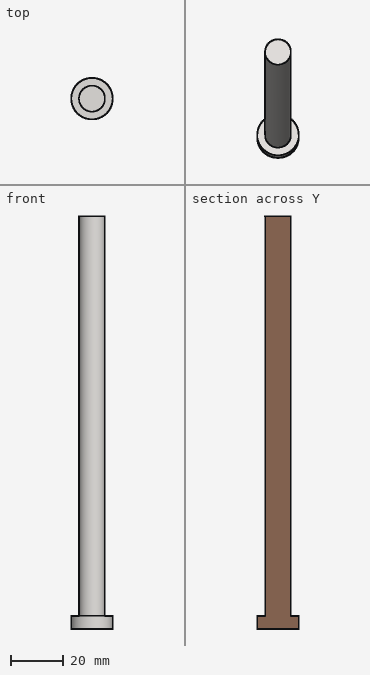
import cadquery as cq

total_length = 158.6
shank_diameter = 10.0
head_diameter = 16.0
head_height = 5.0

head_bottom = -total_length / 2

head = (
    cq.Workplane("XY")
    .workplane(offset=head_bottom)
    .circle(head_diameter / 2)
    .extrude(head_height)
)

shank = (
    cq.Workplane("XY")
    .workplane(offset=head_bottom)
    .circle(shank_diameter / 2)
    .extrude(total_length)
)

result = head.union(shank)